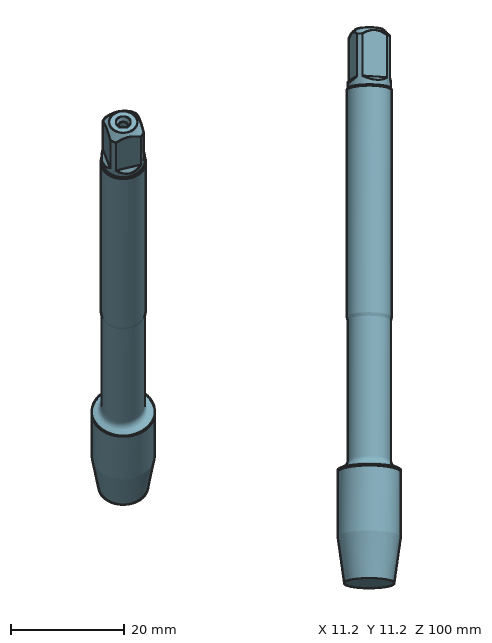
import cadquery as cq
import math

total_length = 100.0

head_diameter = 11.2
tip_diameter = 8.9
lead_length = 8.3
head_length = 20.1

shoulder_rim_height = 0.3
fillet_radius = 1.4
fillet_foot_z = 20.9
fillet_foot_diameter = 9.1

neck_diameter = 7.7
shank_diameter = 8.0
shank_bottom_z = 47.5
shank_bottom_bevel = 0.6
shank_top_z = 89.4
shank_top_bevel = 0.3

square_width = 6.2
square_bottom_z = 91.0
end_face_diameter = 5.0

centre_mouth_diameter = 2.6
centre_diameter = 1.6
centre_pilot_depth = 1.5
centre_cone_half_angle = math.radians(30)
drill_point_slope = math.radians(30)


def make_head():
    """Cylindrical cutting head with a tapered lead."""
    return (
        cq.Workplane("XZ")
        .moveTo(0, 0)
        .lineTo(tip_diameter / 2, 0)
        .lineTo(head_diameter / 2, lead_length)
        .lineTo(head_diameter / 2, head_length)
        .lineTo(0, head_length)
        .close()
        .revolve(360, (0, 0, 0), (0, 1, 0))
    )


def turned_shank():
    """Shoulder, neck, shank and drive end before the flats are cut."""
    neck_radius = neck_diameter / 2
    shank_radius = shank_diameter / 2
    end_radius = end_face_diameter / 2
    end_bevel = neck_radius - end_radius
    fillet_offset = neck_radius + fillet_radius - fillet_foot_diameter / 2
    fillet_top_z = fillet_foot_z + math.sqrt(fillet_radius**2 - fillet_offset**2)
    return (
        cq.Workplane("XZ")
        .moveTo(0, head_length)
        .lineTo(head_diameter / 2, head_length)
        .lineTo(head_diameter / 2, head_length + shoulder_rim_height)
        .lineTo(fillet_foot_diameter / 2, fillet_foot_z)
        .radiusArc((neck_radius, fillet_top_z), fillet_radius)
        .lineTo(neck_radius, shank_bottom_z)
        .lineTo(shank_radius, shank_bottom_z + shank_bottom_bevel)
        .lineTo(shank_radius, shank_top_z - shank_top_bevel)
        .lineTo(neck_radius, shank_top_z)
        .lineTo(neck_radius, total_length - end_bevel)
        .lineTo(end_radius, total_length)
        .lineTo(0, total_length)
        .close()
        .revolve(360, (0, 0, 0), (0, 1, 0))
    )


def flat_cutter():
    """Cutter for the +X flat, running out at 45 degrees at its lower end."""
    flat_x = square_width / 2
    outer_x = shank_diameter
    return (
        cq.Workplane("XZ")
        .moveTo(flat_x, total_length)
        .lineTo(flat_x, square_bottom_z)
        .lineTo(outer_x, square_bottom_z - (outer_x - flat_x))
        .lineTo(outer_x, total_length)
        .close()
        .extrude(shank_diameter / 2, both=True)
    )


def centre_hole():
    """Cutter for the centre hole: a 60 degree cone, a pilot bore and a drill point below it."""
    mouth_radius = centre_mouth_diameter / 2
    pilot_radius = centre_diameter / 2
    cone_depth = (mouth_radius - pilot_radius) / math.tan(centre_cone_half_angle)
    pilot_bottom_z = total_length - cone_depth - centre_pilot_depth
    return (
        cq.Workplane("XZ")
        .moveTo(0, total_length)
        .lineTo(mouth_radius, total_length)
        .lineTo(pilot_radius, total_length - cone_depth)
        .lineTo(pilot_radius, pilot_bottom_z)
        .lineTo(0, pilot_bottom_z - pilot_radius * math.tan(drill_point_slope))
        .close()
        .revolve(360, (0, 0, 0), (0, 1, 0))
    )


def make_shank():
    """Turned shank with four drive flats and the centre hole."""
    shank = turned_shank()
    for angle in (0, 90, 180, 270):
        shank = shank.cut(flat_cutter().rotate((0, 0, 0), (0, 0, 1), angle))
    return shank.cut(centre_hole())


head = make_head()
shank = make_shank()

result = cq.Compound.makeCompound([head.val(), shank.val()])